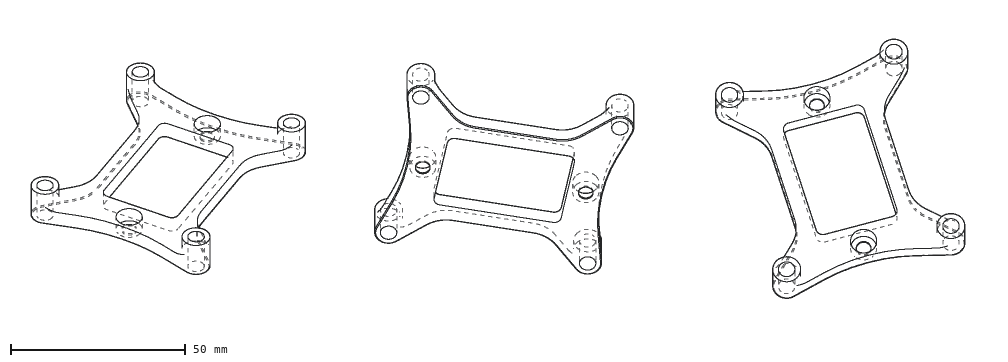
import cadquery as cq
import math

boss_pitch_x = 49.0
boss_pitch_y = 58.0
boss_diameter = 8.0
boss_bore = 4.7
boss_height = 11.0
boss_root_radius = 2.0

plate_thickness = 5.0
waist_width = 34.0
waist_length = 57.0
end_slope = 15.0
side_slope = 45.0
end_blend_radius = 50.0
side_blend_radius = 10.0
bottom_chamfer = 0.3

window_width = 24.0
window_length = 37.0
window_corner_radius = 2.0

screw_pitch = 47.5
screw_diameter = 4.2
head_diameter = 7.5
head_depth = 4.5

boss_x = boss_pitch_x / 2
boss_y = boss_pitch_y / 2
boss_radius = boss_diameter / 2
quadrants = [(1, 1), (-1, 1), (-1, -1), (1, -1)]
screw_centers = [(0, -screw_pitch / 2), (0, screw_pitch / 2)]
end_angle = math.radians(end_slope)
side_angle = math.radians(side_slope)


def on_boss_circle(angle):
    """Point of the +X +Y boss circle at an angle measured from X."""
    return (boss_x + boss_radius * math.cos(angle), boss_y + boss_radius * math.sin(angle))


end_touch = on_boss_circle(math.pi / 2 + end_angle)
side_touch = on_boss_circle(side_angle - math.pi / 2)
outer_point = on_boss_circle((end_angle + side_angle) / 2)
end_y = waist_length / 2
end_corner = (end_touch[0] - (end_touch[1] - end_y) / math.tan(end_angle), end_y)
side_x = waist_width / 2
side_corner = (side_x, side_touch[1] - (side_touch[0] - side_x) * math.tan(side_angle))


def in_quadrant(point, quadrant):
    """Mirror a point of the +X +Y quadrant into another quadrant."""
    return (point[0] * quadrant[0], point[1] * quadrant[1])


def in_all_quadrants(point):
    return [in_quadrant(point, quadrant) for quadrant in quadrants]


boss_centers = in_all_quadrants((boss_x, boss_y))


def make_plate():
    """X-shaped plate whose edges run tangent to the boss circles."""
    outline = cq.Workplane("XY").moveTo(*in_quadrant(side_corner, quadrants[-1]))
    for quadrant in quadrants:
        path = [side_corner, side_touch, end_touch, end_corner]
        if quadrant[0] != quadrant[1]:
            path.reverse()
        before, arc_start, arc_end, after = [in_quadrant(point, quadrant) for point in path]
        outline = (
            outline.lineTo(*before)
            .lineTo(*arc_start)
            .threePointArc(in_quadrant(outer_point, quadrant), arc_end)
            .lineTo(*after)
        )
    plate = outline.close().extrude(plate_thickness)
    plate = round_corners(plate, in_all_quadrants(end_corner), end_blend_radius)
    return round_corners(plate, in_all_quadrants(side_corner), side_blend_radius)


def round_corners(body, corners, radius):
    """Fillet the upright plate edges standing at the given corners."""
    for x, y in corners:
        middle = (x, y, plate_thickness / 2)
        body = body.edges(cq.selectors.NearestToPointSelector(middle)).fillet(radius)
    return body


def make_boss_roots():
    """Concave flares around the boss feet, cut off by the sloping plate edges."""
    flare_radius = boss_radius + boss_root_radius
    flare_top = plate_thickness + boss_root_radius
    arc_offset = boss_root_radius * (1 - math.sqrt(0.5))
    flare = (
        cq.Workplane("XZ")
        .moveTo(boss_radius, plate_thickness)
        .lineTo(flare_radius, plate_thickness)
        .threePointArc(
            (boss_radius + arc_offset, plate_thickness + arc_offset),
            (boss_radius, flare_top),
        )
        .close()
        .revolve(360, (0, 0, 0), (0, 1, 0))
    )
    roots = cq.Workplane("XY")
    for quadrant in quadrants:
        wedge_points = [(boss_x, boss_y), end_touch, end_corner, side_corner, side_touch]
        wedge = (
            cq.Workplane("XY")
            .polyline([in_quadrant(point, quadrant) for point in wedge_points])
            .close()
            .extrude(boss_height)
        )
        center_x, center_y = in_quadrant((boss_x, boss_y), quadrant)
        root = flare.translate((center_x, center_y, 0)).intersect(wedge)
        roots = roots.union(root)
    return roots


def make_body():
    """Plate with bosses, flared boss roots and a chamfer around the underside."""
    bosses = cq.Workplane("XY").pushPoints(boss_centers).circle(boss_radius).extrude(boss_height)
    body = make_plate().union(bosses).union(make_boss_roots())
    return body.faces("<Z").edges().chamfer(bottom_chamfer)


def cut_window(body):
    window = (
        cq.Workplane("XY")
        .rect(window_width, window_length)
        .extrude(plate_thickness)
        .edges("|Z")
        .fillet(window_corner_radius)
    )
    return body.cut(window)


def cut_boss_bores(body):
    bores = cq.Workplane("XY").pushPoints(boss_centers).circle(boss_bore / 2).extrude(boss_height)
    return body.cut(bores)


def cut_screw_holes(body):
    holes = (
        cq.Workplane("XY", origin=(0, 0, plate_thickness))
        .pushPoints(screw_centers)
        .circle(screw_diameter / 2)
        .extrude(-plate_thickness)
    )
    heads = (
        cq.Workplane("XY", origin=(0, 0, plate_thickness))
        .pushPoints(screw_centers)
        .circle(head_diameter / 2)
        .extrude(-head_depth)
    )
    return body.cut(holes).cut(heads)


body = make_body()
body = cut_window(body)
body = cut_boss_bores(body)
result = cut_screw_holes(body)